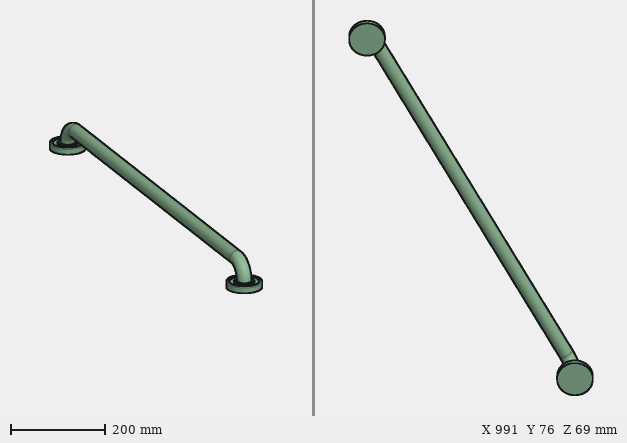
import cadquery as cq
import math

overall_length = 991.0
overall_height = 69.0
tube_diameter = 32.0
bend_radius = 41.0
flange_diameter = 76.0
flange_height = 15.0
rim_fillet = 2.0
groove_outer_diameter = 62.0
groove_inner_diameter = 45.0
groove_depth = 2.0
groove_wall_run = 2.0

flange_radius = flange_diameter / 2
post_x = overall_length / 2 - flange_radius
axis_z = overall_height - tube_diameter / 2
bend_start_z = axis_z - bend_radius
bend_x = post_x - bend_radius


def make_flange(x):
    """Round wall flange with a rounded rim and a ring groove in its top face."""
    groove_outer_radius = groove_outer_diameter / 2
    groove_inner_radius = groove_inner_diameter / 2
    groove_floor_z = flange_height - groove_depth
    section = (
        cq.Workplane("XZ")
        .lineTo(flange_radius, 0)
        .lineTo(flange_radius, flange_height - rim_fillet)
        .radiusArc((flange_radius - rim_fillet, flange_height), -rim_fillet)
        .lineTo(groove_outer_radius + groove_wall_run, flange_height)
        .lineTo(groove_outer_radius, groove_floor_z)
        .lineTo(groove_inner_radius, groove_floor_z)
        .lineTo(groove_inner_radius - groove_wall_run, flange_height)
        .lineTo(0, flange_height)
        .close()
    )
    return section.revolve(360, (0, 0, 0), (0, 1, 0)).translate((x, 0, 0))


def make_bar():
    """Round bar that rises from one flange, runs along X and drops to the other flange."""
    bend_mid_offset = bend_radius * math.sin(math.radians(45))
    bend_mid_x = bend_x + bend_mid_offset
    bend_mid_z = bend_start_z + bend_mid_offset
    path = (
        cq.Workplane("XZ")
        .moveTo(-post_x, 0)
        .lineTo(-post_x, bend_start_z)
        .threePointArc((-bend_mid_x, bend_mid_z), (-bend_x, axis_z))
        .lineTo(bend_x, axis_z)
        .threePointArc((bend_mid_x, bend_mid_z), (post_x, bend_start_z))
        .lineTo(post_x, 0)
    )
    return cq.Workplane("XY").center(-post_x, 0).circle(tube_diameter / 2).sweep(path)


result = make_bar()
for flange_x in (-post_x, post_x):
    result = result.union(make_flange(flange_x))